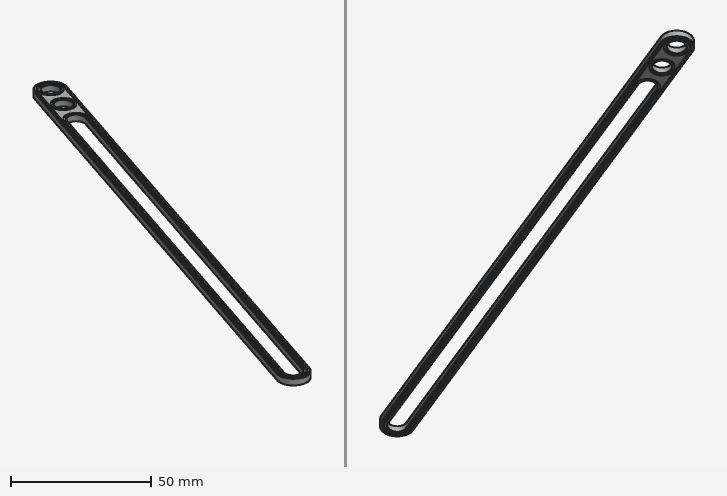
import cadquery as cq

length = 250.0
width = 12.5
half_thickness = 1.55
hole_diameter = 7.0
rim_diameter = 9.2
recess_depth = 0.2
edge_chamfer = 0.3

thickness = 2 * half_thickness
end_radius = width / 2
rim_wall = (rim_diameter - hole_diameter) / 2
recess_width = width - 2 * rim_wall
hole_pitch = width

first_center = end_radius
second_center = first_center + hole_pitch
slot_start = second_center + hole_pitch
last_center = length - end_radius

openings = [
    (first_center, first_center),
    (second_center, second_center),
    (slot_start, last_center),
]


def outline(z, start, end, diameter):
    """Round-ended outline at height z, or a circle when both centres coincide."""
    sketch_plane = cq.Workplane("XY", origin=((start + end) / 2, 0, z))
    if start == end:
        return sketch_plane.circle(diameter / 2)
    return sketch_plane.slot2D(end - start + diameter, diameter)


def full_height(start, end, diameter):
    """Round-ended prism through the whole thickness, centred on Z = 0."""
    return outline(-half_thickness, start, end, diameter).extrude(thickness)


def flared_cutter(start, end):
    """Through cutter for an opening with a 45 degree chamfer at both mouths."""
    mouth_diameter = hole_diameter + 2 * edge_chamfer
    cutter = full_height(start, end, hole_diameter)
    for side in (1, -1):
        mouth = outline(side * half_thickness, start, end, mouth_diameter)
        cutter = cutter.union(mouth.extrude(-side * edge_chamfer, taper=45))
    return cutter


bar = full_height(first_center, last_center, width)
bar = bar.faces("<Z or >Z").edges().chamfer(edge_chamfer)

for side in (1, -1):
    recess = outline(side * half_thickness, first_center, last_center, recess_width)
    bar = bar.cut(recess.extrude(-side * recess_depth))

for start, end in openings:
    bar = bar.union(full_height(start, end, rim_diameter))

for start, end in openings:
    bar = bar.cut(flared_cutter(start, end))

result = bar